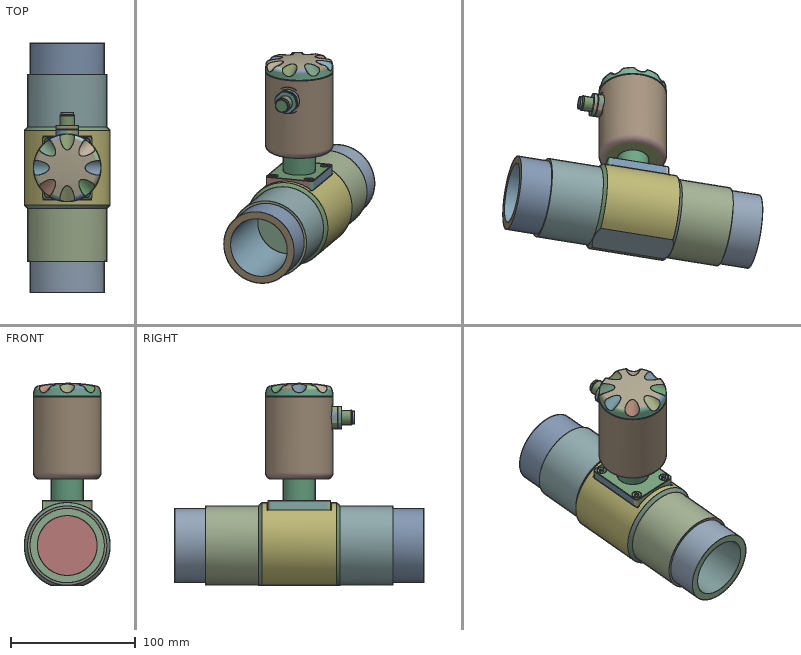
import cadquery as cq
import math

pipe_length = 200.0
end_diameter = 59.5
middle_diameter = 63.5
middle_length = 150.0
bore_diameter = 48.0

body_diameter = 69.0
body_length = 65.5
body_chamfer = (body_diameter - middle_diameter) / 2
base_z = -32.0
bore_depth = (pipe_length - body_length) / 2

plate_width = 40.0
plate_length = 50.5
plate_top = 36.2
plate_seat_length = 51.5
plate_seat_z = 28.5
plate_corner_radius = 2.5
plate_edge_chamfer = 0.3
screw_inset = 5.0
screw_recess_diameter = 7.5
screw_head_diameter = 7.0
screw_recess_depth = 2.0
screw_head_height = 1.8
screw_socket_sides = 6
screw_socket_size = 4.0
screw_socket_depth = 1.5

neck_diameter = 25.8
housing_diameter = 54.5
housing_radius = housing_diameter / 2
housing_bottom = 53.2
housing_fillet = 5.2
cap_bottom = 119.2
total_height = 162.2
cap_top = base_z + total_height
seam_width = 0.5
seam_depth = 0.2
cap_shoulder_radius = 26.8
cap_shoulder_z = 124.8
cap_rim_radius = 24.0
cap_rim_z = 128.0

flute_count = 8
flute_diameter = 14.0
flute_inner_radius = 14.5
flute_inner_z = 129.5
flute_outer_z = 122.5

connector_z = 102.5
spotface_diameter = 22.0
spotface_y = 26.5
connector_embed = 2.0
nut_sides = 6
nut_width = 17.5
nut_corner_diameter = 18.2
nut_turn_degrees = -15
nut_seam_y = 30.8
nut_seam_width = 0.5
nut_seam_depth = 0.2
nut_end_y = 34.0
plug_diameter = 11.5
plug_ring_diameter = 12.0
plug_ring_y = 41.5
plug_ring_width = 1.2
plug_tip_diameter = 10.2
plug_tip_y = 44.5


def cylinder_y(diameter, start_y, end_y, z=0.0):
    """Round bar parallel to Y."""
    plane = cq.Plane(origin=(0, start_y, z), xDir=(1, 0, 0), normal=(0, 1, 0))
    return cq.Workplane(plane).circle(diameter / 2).extrude(end_y - start_y)


def centred_cylinder_y(diameter, length):
    return cylinder_y(diameter, -length / 2, length / 2)


def make_pipe():
    body = centred_cylinder_y(body_diameter, body_length).faces("<Y or >Y").chamfer(body_chamfer)
    base_cutter = cq.Workplane("XY").workplane(offset=base_z).rect(body_diameter, pipe_length)
    seat_cutter = cq.Workplane("XY").workplane(offset=plate_seat_z).rect(body_diameter, plate_seat_length)
    pipe = centred_cylinder_y(end_diameter, pipe_length)
    pipe = pipe.union(centred_cylinder_y(middle_diameter, middle_length)).union(body)
    return pipe.cut(base_cutter.extrude(-body_diameter)).cut(seat_cutter.extrude(body_diameter))


def make_bores():
    half_length = pipe_length / 2
    front = cylinder_y(bore_diameter, -half_length, -half_length + bore_depth)
    back = cylinder_y(bore_diameter, half_length - bore_depth, half_length)
    return front.union(back)


def make_plate():
    seat = cq.Workplane("XY").workplane(offset=plate_seat_z)
    plate = seat.rect(plate_width, plate_length).extrude(plate_top - plate_seat_z)
    plate = plate.edges("|Z").fillet(plate_corner_radius)
    plate = plate.faces(">Z").chamfer(plate_edge_chamfer)
    screw_points = [
        (side_x * (plate_width / 2 - screw_inset), side_y * (plate_length / 2 - screw_inset))
        for side_x in (-1, 1)
        for side_y in (-1, 1)
    ]
    top = cq.Workplane("XY").workplane(offset=plate_top).pushPoints(screw_points)
    plate = plate.cut(top.circle(screw_recess_diameter / 2).extrude(-screw_recess_depth))
    floor = cq.Workplane("XY").workplane(offset=plate_top - screw_recess_depth).pushPoints(screw_points)
    heads = floor.circle(screw_head_diameter / 2).extrude(screw_head_height)
    head_top = plate_top - screw_recess_depth + screw_head_height
    sockets = cq.Workplane("XY").workplane(offset=head_top).pushPoints(screw_points)
    sockets = sockets.polygon(screw_socket_sides, screw_socket_size).extrude(-screw_socket_depth)
    return plate.union(heads).cut(sockets)


def make_housing():
    height = cap_bottom - housing_bottom
    housing = cq.Workplane("XY").workplane(offset=housing_bottom).circle(housing_radius).extrude(height)
    housing = housing.faces("<Z").edges().fillet(housing_fillet)
    neck = cq.Workplane("XY").workplane(offset=plate_seat_z).circle(neck_diameter / 2)
    neck = neck.extrude(housing_bottom - plate_seat_z)
    return housing.union(neck)


def make_cap():
    """Domed cap with a rounded rim, standing on a thin seam groove."""
    seam_radius = housing_radius - seam_depth
    seam_top = cap_bottom + seam_width
    dome_rise = cap_top - cap_rim_z
    dome_radius = (cap_rim_radius**2 + dome_rise**2) / (2 * dome_rise)
    dome_mid_radius = cap_rim_radius / 2
    dome_mid_z = cap_top - dome_radius + math.sqrt(dome_radius**2 - dome_mid_radius**2)
    profile = (
        cq.Workplane("XZ")
        .moveTo(0, cap_bottom)
        .lineTo(seam_radius, cap_bottom)
        .lineTo(seam_radius, seam_top)
        .lineTo(housing_radius, seam_top)
        .lineTo(cap_shoulder_radius, cap_shoulder_z)
        .tangentArcPoint((cap_rim_radius, cap_rim_z), relative=False)
        .threePointArc((dome_mid_radius, dome_mid_z), (0, cap_top))
        .close()
    )
    cap = profile.revolve(360, (0, 0, 0), (0, 1, 0))
    flute = make_flute()
    for index in range(flute_count):
        cap = cap.cut(flute.rotate((0, 0, 0), (0, 0, 1), index * 360 / flute_count))
    return cap


def make_flute():
    """Sloping cutter whose lowest line falls from the dome to the rim of the cap."""
    run = housing_radius - flute_inner_radius
    drop = flute_inner_z - flute_outer_z
    slope_length = math.hypot(run, drop)
    along = cq.Vector(run / slope_length, 0, -drop / slope_length)
    across = cq.Vector(drop / slope_length, 0, run / slope_length)
    lowest_start = cq.Vector(flute_inner_radius, 0, flute_inner_z) - along * slope_length
    start = lowest_start + across * (flute_diameter / 2)
    plane = cq.Plane(origin=start, xDir=(0, 1, 0), normal=along)
    return cq.Workplane(plane).circle(flute_diameter / 2).extrude(3 * slope_length)


def make_nut(start_y):
    """Hexagonal nut whose corners are turned round, with a thin seam groove."""
    hexagon_diameter = nut_width / math.cos(math.pi / nut_sides)
    plane = cq.Plane(origin=(0, start_y, connector_z), xDir=(1, 0, 0), normal=(0, 1, 0))
    hexagon = cq.Workplane(plane).polygon(nut_sides, hexagon_diameter).extrude(nut_end_y - start_y)
    hexagon = hexagon.rotate((0, 0, connector_z), (0, 1, connector_z), nut_turn_degrees)
    nut = hexagon.intersect(cylinder_y(nut_corner_diameter, start_y, nut_end_y, connector_z))
    seam_start = nut_seam_y - nut_seam_width / 2
    seam_end = nut_seam_y + nut_seam_width / 2
    seam_core_diameter = nut_width - 2 * nut_seam_depth
    seam = cylinder_y(housing_diameter, seam_start, seam_end, connector_z)
    seam = seam.cut(cylinder_y(seam_core_diameter, seam_start, seam_end, connector_z))
    return nut.cut(seam)


def make_connector():
    root_y = spotface_y - connector_embed
    plug = cylinder_y(plug_diameter, root_y, plug_ring_y, connector_z)
    ring = cylinder_y(plug_ring_diameter, plug_ring_y, plug_ring_y + plug_ring_width, connector_z)
    ring = ring.faces(">Y").chamfer((plug_ring_diameter - plug_tip_diameter) / 2)
    tip = cylinder_y(plug_tip_diameter, root_y, plug_tip_y, connector_z)
    return make_nut(root_y).union(plug).union(ring).union(tip)


spotface = cylinder_y(spotface_diameter, spotface_y, housing_diameter, connector_z)
housing = make_housing().union(make_cap()).cut(spotface)
result = make_pipe().union(make_plate()).union(housing).union(make_connector()).cut(make_bores())